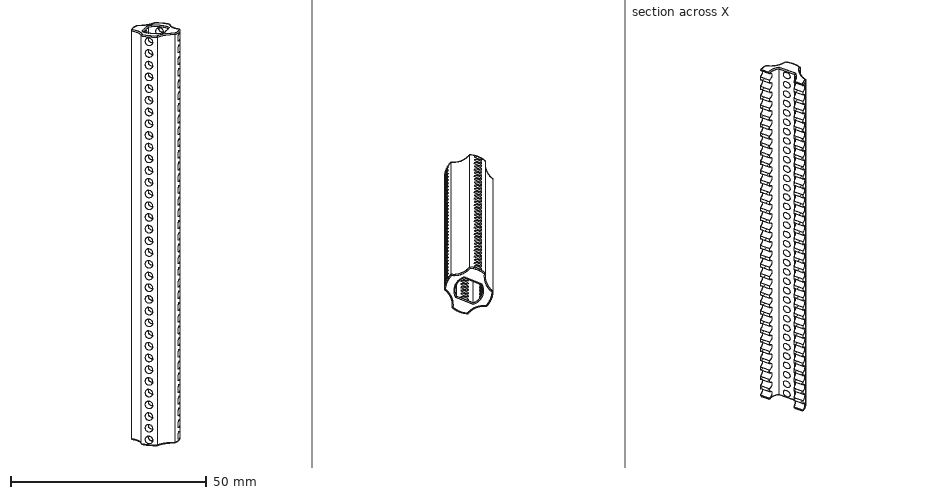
import cadquery as cq
import math

hole_pitch = 3.125
hole_count = 35
hole_diameter = 2.0
outer_diameter = 12.5
arm_half_width = 2.22
valley_radius = 5.0
bore_diameter = 7.0
bore_width = 5.25
end_chamfer = 0.3

beam_length = hole_count * hole_pitch
outer_radius = outer_diameter / 2
arm_corner_reach = math.sqrt(outer_radius**2 - arm_half_width**2)
first_hole_z = -(hole_count - 1) * hole_pitch / 2


def rotate_quarter(point, quarters):
    """Turn a point about the axis by a number of quarter turns."""
    x, y = point
    for _ in range(quarters):
        x, y = -y, x
    return x, y


def beam_blank():
    """Four-armed bar: round arm tips joined by concave hollows on the diagonals."""
    tip_start = (arm_corner_reach, -arm_half_width)
    tip_middle = (outer_radius, 0)
    tip_end = (arm_corner_reach, arm_half_width)
    hollow_bottom = (valley_radius / math.sqrt(2), valley_radius / math.sqrt(2))

    outline = cq.Workplane("XY").workplane(offset=-beam_length / 2).moveTo(*tip_start)
    for quarter in range(4):
        outline = outline.threePointArc(rotate_quarter(tip_middle, quarter), rotate_quarter(tip_end, quarter))
        next_tip_start = rotate_quarter(tip_start, quarter + 1)
        outline = outline.threePointArc(rotate_quarter(hollow_bottom, quarter), next_tip_start)
    return outline.close().extrude(beam_length)


def bore():
    """Lengthwise bore: a round bore narrowed by two flats facing along X."""
    round_bore = cq.Workplane("XY").circle(bore_diameter / 2).extrude(beam_length / 2, both=True)
    flats = cq.Workplane("XY").box(bore_width, bore_diameter, beam_length)
    return round_bore.intersect(flats)


def cross_holes(plane):
    """Row of round holes along Z, drilled right through the beam normal to the plane."""
    centers = [(0, first_hole_z + index * hole_pitch) for index in range(hole_count)]
    holes = cq.Workplane(plane).pushPoints(centers).circle(hole_diameter / 2)
    return holes.extrude(outer_diameter, both=True)


result = beam_blank().cut(bore())
result = result.faces("<Z or >Z").edges().chamfer(end_chamfer)
for hole_plane in ("XZ", "YZ"):
    result = result.cut(cross_holes(hole_plane))